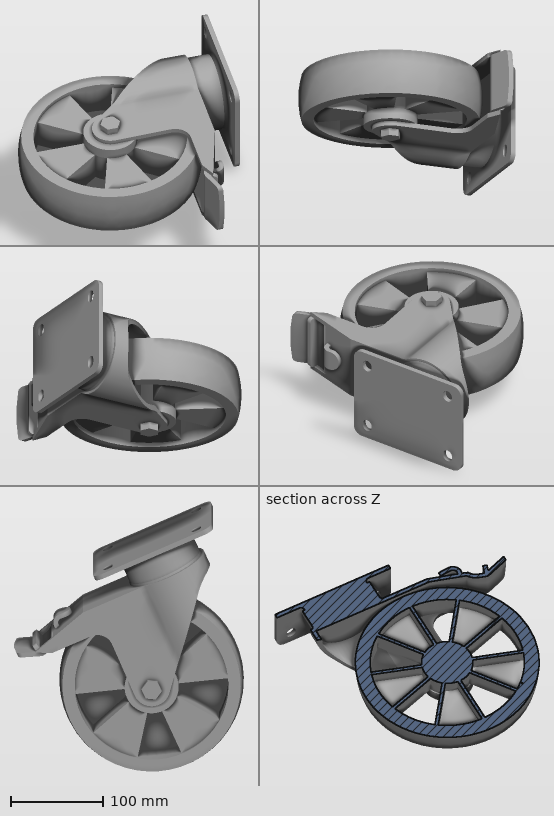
import cadquery as cq
import math


PLATE_LENGTH = 140.0
PLATE_WIDTH = 110.0
PLATE_THICKNESS = 5.5
PLATE_CORNER_RADIUS = 10.2
HOLE_SPACING_X = 105.0
HOLE_SPACING_Z = 77.8
HOLE_WIDTH = 11.3
HOLE_LENGTH = 13.5

NECK_RADIUS = 38.5
COLLAR_RADIUS = 83.2 / 2
COLLAR_TOP_Y = -9.7
COLLAR_FLARE_Y = -33.3
COLLAR_FLARE = 1.0

WHEEL_RADIUS = 100.0
WHEEL_X = 65.3
WHEEL_Y = WHEEL_RADIUS - 244.5
WHEEL_HALF_WIDTH = 24.8
TREAD_EDGE_RADIUS = 96.8
RIM_INNER_RADIUS = 167.0 / 2
HUB_RADIUS = 58.5 / 2
HUB_CORE_RADIUS = 28.2
WEB_RECESS = 5.0
WEB_THICKNESS = 4.0
WEB_FLOOR = 6.1
POCKETS_PER_SIDE = 5
POCKET_PITCH = 360 / POCKETS_PER_SIDE

SHEET = 5.0
FORK_TOP_Y = -35.8
FORK_RADIUS = 45.5
ARM_OUTER_Z = 36.9
ARM_INNER_Z = ARM_OUTER_Z - SHEET
ARM_BEND_RADIUS = 13.3
ARM_END_RADIUS = 20.0
ARM_TIP_X = 164.0
ARM_TIP_Y = -55.5
ARM_SLOPE_START_X = 98.3
ARM_UNDERSIDE_X = 147.7
ARM_UNDERSIDE_Y = -63.7
ARM_BACK_X = 83.7
ARM_BACK_FILLET = 17.5
MOUTH_TOP_Y = -52.0
MOUTH_ARC_MID = (-35.3, -57.3)
MOUTH_ARC_END = (-26.4, -65.3)
BRIDGE_END_X = 139.5

BOLT_ACROSS_FLATS = 19.2
BOLT_HEAD_HEIGHT = 8.0

BRIDGE_SLOPE = math.degrees(math.atan2(FORK_TOP_Y - ARM_TIP_Y, ARM_TIP_X - ARM_SLOPE_START_X))
PEDAL_TIP_X = 256 - PLATE_LENGTH / 2
PEDAL_ANGLE = 20.0
PEDAL_BEND_X = 158.0
PEDAL_BEND_OUTER_RADIUS = 7.2
PEDAL_CORNER_RADIUS = 5.0
PEDAL_END_BOW = 3.0
SADDLE_X = 154.5
SADDLE_OUTER_RADIUS = 19.7
SADDLE_START_ANGLE = 205
HOOK_X = 126.0
HOOK_Y = -43.5
HOOK_RADIUS = 20.0 / 2
HOOK_TIP_X = 113.0
HOOK_ANGLE = 5.0
HOOK_HALF_WIDTH = 11.5
TAB_X = 162.0
TAB_TOP_Y = -49.5


def polar(center, radius, degrees):
    angle = math.radians(degrees)
    return (center[0] + radius * math.cos(angle), center[1] + radius * math.sin(angle))


def y_cylinder(radius, top, bottom):
    """Cylinder on the swivel axis between two heights."""
    return cq.Workplane("XZ", origin=(0, top, 0)).circle(radius).extrude(top - bottom)


def y_box(x_min, x_max, half_width, top, bottom):
    """Box symmetric about z = 0."""
    size = (x_max - x_min, top - bottom, 2 * half_width)
    return cq.Workplane("XY").box(*size).translate(((x_min + x_max) / 2, (top + bottom) / 2, 0))


def make_plate():
    plate = y_box(-PLATE_LENGTH / 2, PLATE_LENGTH / 2, PLATE_WIDTH / 2, 0, -PLATE_THICKNESS)
    plate = plate.edges("|Y").fillet(PLATE_CORNER_RADIUS)
    holes = (
        cq.Workplane("XZ")
        .rarray(HOLE_SPACING_X, HOLE_SPACING_Z, 2, 2)
        .slot2D(HOLE_LENGTH, HOLE_WIDTH, 90)
        .extrude(PLATE_THICKNESS)
    )
    return plate.cut(holes)


def make_swivel_head():
    """Neck flaring into the plate through a quarter-round fillet, above the bearing collar."""
    neck_fillet = -PLATE_THICKNESS - COLLAR_TOP_Y
    fillet_centre = (NECK_RADIUS + neck_fillet, COLLAR_TOP_Y)
    return (
        cq.Workplane("XY")
        .moveTo(0, -PLATE_THICKNESS)
        .lineTo(NECK_RADIUS + neck_fillet, -PLATE_THICKNESS)
        .threePointArc(polar(fillet_centre, neck_fillet, 135), (NECK_RADIUS, COLLAR_TOP_Y))
        .lineTo(COLLAR_RADIUS, COLLAR_TOP_Y)
        .lineTo(COLLAR_RADIUS, COLLAR_FLARE_Y)
        .lineTo(COLLAR_RADIUS + COLLAR_FLARE, FORK_TOP_Y)
        .lineTo(0, FORK_TOP_Y)
        .close()
        .revolve(360, (0, 0), (0, 1))
    )


def make_fork_side_shape():
    """Side outline of the fork, extruded across its full width."""
    axle = (WHEEL_X, WHEEL_Y)
    dx = WHEEL_X - MOUTH_ARC_END[0]
    dy = WHEEL_Y - MOUTH_ARC_END[1]
    edge_angle = math.degrees(math.atan2(dy, dx) - math.asin(ARM_END_RADIUS / math.hypot(dx, dy)))
    back_corner = (ARM_BACK_X, ARM_UNDERSIDE_Y)
    shape = (
        cq.Workplane("XY")
        .moveTo(-FORK_RADIUS, FORK_TOP_Y)
        .lineTo(-FORK_RADIUS, MOUTH_TOP_Y)
        .threePointArc(MOUTH_ARC_MID, MOUTH_ARC_END)
        .lineTo(*polar(axle, ARM_END_RADIUS, edge_angle - 90))
        .threePointArc(polar(axle, ARM_END_RADIUS, -60), polar(axle, ARM_END_RADIUS, 0))
        .lineTo(*back_corner)
        .lineTo(ARM_UNDERSIDE_X, ARM_UNDERSIDE_Y)
        .lineTo(ARM_TIP_X, ARM_TIP_Y)
        .lineTo(ARM_SLOPE_START_X, FORK_TOP_Y)
        .close()
        .extrude(FORK_RADIUS, both=True)
    )
    corner_edge = cq.selectors.NearestToPointSelector((*back_corner, 0))
    return shape.edges(corner_edge).fillet(ARM_BACK_FILLET)


def make_fork():
    """Round yoke running into two flat arms, closed on top by a bridge one sheet thick."""
    bottom = WHEEL_Y - ARM_END_RADIUS
    outer = y_cylinder(FORK_RADIUS, FORK_TOP_Y, bottom)
    outer = outer.union(y_box(0, ARM_TIP_X, ARM_OUTER_Z, FORK_TOP_Y, bottom))
    bend_x = math.sqrt(FORK_RADIUS**2 - ARM_OUTER_Z**2)
    bends = cq.selectors.BoxSelector((bend_x - 2.5, bottom, -FORK_RADIUS), (bend_x + 2.5, FORK_TOP_Y, FORK_RADIUS))
    outer = outer.edges("|Y").edges(bends).fillet(ARM_BEND_RADIUS)
    side_shape = make_fork_side_shape()

    cavity = y_cylinder(FORK_RADIUS - SHEET, FORK_TOP_Y, bottom)
    cavity = cavity.union(y_box(0, ARM_TIP_X, ARM_INNER_Z, FORK_TOP_Y, bottom))
    slope = (ARM_TIP_Y - FORK_TOP_Y) / (ARM_TIP_X - ARM_SLOPE_START_X)
    bridge = (
        cq.Workplane("XY")
        .moveTo(-FORK_RADIUS, FORK_TOP_Y)
        .lineTo(ARM_SLOPE_START_X, FORK_TOP_Y)
        .lineTo(BRIDGE_END_X, FORK_TOP_Y + slope * (BRIDGE_END_X - ARM_SLOPE_START_X))
        .line(0, -SHEET)
        .lineTo(ARM_SLOPE_START_X, FORK_TOP_Y - SHEET)
        .lineTo(-FORK_RADIUS, FORK_TOP_Y - SHEET)
        .close()
        .extrude(FORK_RADIUS, both=True)
    )
    return outer.cut(cavity.cut(bridge)).intersect(side_shape)


def make_web():
    """Corrugated web: wedge pockets from one face lie between those from the other."""
    web_top = WHEEL_HALF_WIDTH - WEB_RECESS
    half_angle = math.radians(POCKET_PITCH / 4)
    apex = WEB_THICKNESS / 2 / math.sin(half_angle)
    reach = 2 * RIM_INNER_RADIUS
    side = reach * math.tan(half_angle)
    upper_pocket = (
        cq.Workplane("XY", origin=(0, 0, WEB_FLOOR - web_top))
        .polyline([(apex, 0), (apex + reach, -side), (apex + reach, side)])
        .close()
        .extrude(2 * WHEEL_HALF_WIDTH)
    )
    lower_pocket = upper_pocket.mirror("XY")
    web = cq.Workplane("XY").circle(RIM_INNER_RADIUS).extrude(web_top, both=True)
    for index in range(POCKETS_PER_SIDE):
        angle = index * POCKET_PITCH
        web = web.cut(upper_pocket.rotate((0, 0, 0), (0, 0, 1), angle + POCKET_PITCH / 2))
        web = web.cut(lower_pocket.rotate((0, 0, 0), (0, 0, 1), angle))
    return web


def make_wheel():
    """Crowned rim around the web, with a hub reaching the arms."""
    web_top = WHEEL_HALF_WIDTH - WEB_RECESS
    rim = (
        cq.Workplane("XZ")
        .moveTo(RIM_INNER_RADIUS, -WHEEL_HALF_WIDTH)
        .lineTo(TREAD_EDGE_RADIUS, -WHEEL_HALF_WIDTH)
        .threePointArc((WHEEL_RADIUS, 0), (TREAD_EDGE_RADIUS, WHEEL_HALF_WIDTH))
        .lineTo(RIM_INNER_RADIUS, WHEEL_HALF_WIDTH)
        .close()
        .revolve(360, (0, 0), (0, 1))
    )
    hub = cq.Workplane("XY").circle(HUB_CORE_RADIUS).extrude(web_top, both=True)
    for face_z, height in ((web_top, ARM_INNER_Z - web_top), (-web_top, web_top - ARM_INNER_Z)):
        hub = hub.union(cq.Workplane("XY", origin=(0, 0, face_z)).circle(HUB_RADIUS).extrude(height))
    return make_web().union(hub).union(rim).translate((WHEEL_X, WHEEL_Y, 0))


def make_bolt():
    """Hexagonal head and nut on the outer faces of the arms."""
    across_corners = BOLT_ACROSS_FLATS / math.cos(math.radians(30))
    return (
        cq.Workplane("XY")
        .polygon(6, across_corners)
        .extrude(ARM_OUTER_Z + BOLT_HEAD_HEIGHT, both=True)
        .rotate((0, 0, 0), (0, 0, 1), 30)
        .translate((WHEEL_X, WHEEL_Y, 0))
    )


def make_pedal():
    """Sheet bent from the saddle under the bridge end, down along the slope and up to the pedal tip."""
    half = SHEET / 2
    bend = (PEDAL_BEND_X, ARM_UNDERSIDE_Y + PEDAL_BEND_OUTER_RADIUS)
    bend_radius = PEDAL_BEND_OUTER_RADIUS - half
    slope_start = -90 - BRIDGE_SLOPE
    bend_start = polar(bend, bend_radius, slope_start)
    bend_end = polar(bend, bend_radius, PEDAL_ANGLE - 90)

    saddle_radius = SADDLE_OUTER_RADIUS - half
    radius_gain = SADDLE_OUTER_RADIUS - PEDAL_BEND_OUTER_RADIUS
    slope = math.radians(BRIDGE_SLOPE)
    saddle_y = bend[1] + radius_gain / math.cos(slope) + (PEDAL_BEND_X - SADDLE_X) * math.tan(slope)
    saddle = (SADDLE_X, saddle_y)
    saddle_end = 360 + slope_start
    slope_length = (PEDAL_TIP_X - bend_end[0]) / math.cos(math.radians(PEDAL_ANGLE))
    pedal_tip = polar(bend_end, slope_length + SHEET, PEDAL_ANGLE)

    path = (
        cq.Workplane("XY")
        .moveTo(*pedal_tip)
        .lineTo(*bend_end)
        .threePointArc(polar(bend, bend_radius, -90), bend_start)
        .lineTo(*polar(saddle, saddle_radius, saddle_end))
        .threePointArc(
            polar(saddle, saddle_radius, (SADDLE_START_ANGLE + saddle_end) / 2),
            polar(saddle, saddle_radius, SADDLE_START_ANGLE),
        )
    )
    section = cq.Plane(
        origin=(*pedal_tip, 0), xDir=(0, 0, 1), normal=(*polar((0, 0), 1, PEDAL_ANGLE), 0)
    )
    sheet = cq.Workplane(section).rect(2 * ARM_INNER_Z, SHEET).sweep(path)

    shoulder_x = PEDAL_TIP_X - PEDAL_END_BOW
    plan = (
        cq.Workplane("XZ")
        .moveTo(HOOK_X, -ARM_INNER_Z)
        .lineTo(shoulder_x, -ARM_INNER_Z)
        .threePointArc((PEDAL_TIP_X, 0), (shoulder_x, ARM_INNER_Z))
        .lineTo(HOOK_X, ARM_INNER_Z)
        .close()
        .extrude(-WHEEL_Y)
        .edges("|Y")
        .edges(">X")
        .fillet(PEDAL_CORNER_RADIUS)
    )
    return sheet.intersect(plan)


def make_hook():
    """Round-ended tongue rising square from the bridge and curling back over it."""
    radius = HOOK_RADIUS - SHEET / 2
    centre = (HOOK_X, HOOK_Y)
    root = polar(centre, radius, -BRIDGE_SLOPE)
    curl_end = polar(centre, radius, 90 + HOOK_ANGLE)
    flat_length = (curl_end[0] - HOOK_TIP_X) / math.cos(math.radians(HOOK_ANGLE)) + SHEET
    path = (
        cq.Workplane("XY")
        .moveTo(*polar(root, SHEET, -90 - BRIDGE_SLOPE))
        .lineTo(*root)
        .threePointArc(polar(centre, radius, 45), curl_end)
        .lineTo(*polar(curl_end, flat_length, 180 + HOOK_ANGLE))
    )
    section = cq.Plane(
        origin=(*polar(root, SHEET, -90 - BRIDGE_SLOPE), 0),
        xDir=(0, 0, 1),
        normal=(*polar((0, 0), 1, 90 - BRIDGE_SLOPE), 0),
    )
    tongue = cq.Workplane(section).rect(2 * HOOK_HALF_WIDTH, SHEET).sweep(path)
    round_end_x = HOOK_TIP_X + HOOK_HALF_WIDTH
    plan = (
        cq.Workplane("XZ")
        .moveTo(round_end_x, -HOOK_HALF_WIDTH)
        .lineTo(ARM_TIP_X, -HOOK_HALF_WIDTH)
        .lineTo(ARM_TIP_X, HOOK_HALF_WIDTH)
        .lineTo(round_end_x, HOOK_HALF_WIDTH)
        .threePointArc((HOOK_TIP_X, 0), (round_end_x, -HOOK_HALF_WIDTH))
        .close()
        .extrude(-WHEEL_Y)
    )
    return tongue.intersect(plan)


def make_tab():
    """Upright stop with rounded corners, standing square on the pedal's sloping stretch."""
    height = TAB_TOP_Y - ARM_UNDERSIDE_Y - SHEET / 2
    return (
        cq.Workplane("XY")
        .box(SHEET, height, 2 * ARM_INNER_Z)
        .edges("|X and >Y")
        .fillet(PEDAL_CORNER_RADIUS)
        .translate((0, -height / 2, 0))
        .rotate((0, 0, 0), (0, 0, 1), -BRIDGE_SLOPE)
        .translate((TAB_X, TAB_TOP_Y, 0))
    )


result = (
    make_plate()
    .union(make_swivel_head())
    .union(make_fork())
    .union(make_wheel())
    .union(make_bolt())
    .union(make_pedal())
    .union(make_hook())
    .union(make_tab())
)